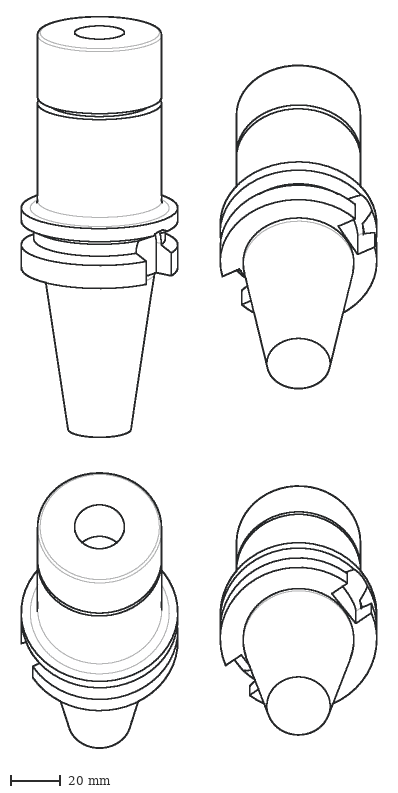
import cadquery as cq

total_height = 165.4
taper_height = 65.3
collar_height = 2.0
flange_bottom = taper_height + collar_height
flange_height = 25.0
flange_top = flange_bottom + flange_height
lower_lip_height = 9.6
upper_lip_height = 5.5
groove_side_height = 2.5
nut_height = 27.0
gap_height = 2.5
nut_bottom = total_height - nut_height

small_end_radius = 25.5 / 2
gauge_radius = 44.5 / 2
flange_radius = 63.0 / 2
groove_radius = 53.0 / 2
body_radius = 50.0 / 2
gap_radius = 40.7 / 2
bore_radius = 20.0 / 2
bore_depth = nut_height
body_fillet = 3.0
nut_fillet = 1.0

slot_width = 16.2
slot_height = 20.8
slot_floor_distance = 22.7


def make_holder():
    """Revolve the taper, grooved flange, body and nut as one profile."""
    groove_bottom = flange_bottom + lower_lip_height
    groove_top = flange_top - upper_lip_height
    profile = (
        cq.Workplane("XZ")
        .lineTo(small_end_radius, 0)
        .lineTo(gauge_radius, taper_height)
        .lineTo(gauge_radius, flange_bottom)
        .lineTo(flange_radius, flange_bottom)
        .lineTo(flange_radius, groove_bottom)
        .lineTo(groove_radius, groove_bottom + groove_side_height)
        .lineTo(groove_radius, groove_top - groove_side_height)
        .lineTo(flange_radius, groove_top)
        .lineTo(flange_radius, flange_top)
        .lineTo(body_radius + body_fillet, flange_top)
        .radiusArc((body_radius, flange_top + body_fillet), body_fillet)
        .lineTo(body_radius, nut_bottom - gap_height)
        .lineTo(gap_radius, nut_bottom - gap_height)
        .lineTo(gap_radius, nut_bottom)
        .lineTo(body_radius, nut_bottom)
        .lineTo(body_radius, total_height)
        .lineTo(0, total_height)
        .close()
    )
    holder = profile.revolve(360, (0, 0, 0), (0, 1, 0))
    return holder.faces(">Z").edges().fillet(nut_fillet)


def make_drive_slot():
    """Round-topped cutter for the slot on the +X side."""
    half_width = slot_width / 2
    arc_start = flange_bottom + slot_height - half_width
    return (
        cq.Workplane("YZ", origin=(slot_floor_distance, 0, 0))
        .moveTo(-half_width, flange_bottom)
        .lineTo(half_width, flange_bottom)
        .lineTo(half_width, arc_start)
        .threePointArc((0, flange_bottom + slot_height), (-half_width, arc_start))
        .close()
        .extrude(flange_radius)
    )


holder = make_holder()

for angle in (0, 180):
    holder = holder.cut(make_drive_slot().rotate((0, 0, 0), (0, 0, 1), angle))

bore = (
    cq.Workplane("XY", origin=(0, 0, total_height - bore_depth))
    .circle(bore_radius)
    .extrude(bore_depth)
)
result = holder.cut(bore)